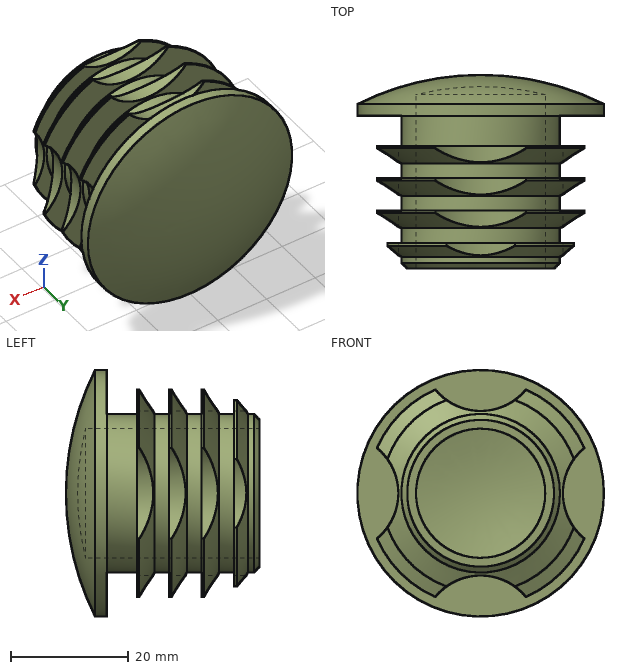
import cadquery as cq
import math


head_radius = 21.0
rim_thickness = 2.0
dome_height = 5.0

stem_radius = 13.5
stem_length = 26.0
tip_chamfer = 1.0
bore_radius = 11.0
dome_wall = 2.0

fin_count = 4
first_fin_offset = 5.1
fin_pitch = 5.5
fin_radius = 19.25
fin_land = 0.4
fin_height = 3.0
end_fin_radius = 16.9
end_fin_land = 0.5
end_fin_height = 2.4

notch_count = 4
notch_radius = 10.0
notch_floor_radius = 14.0

dome_radius = (head_radius**2 + dome_height**2) / (2 * dome_height)
dome_apex = rim_thickness + dome_height
dome_centre = dome_apex - dome_radius
bore_dome_radius = dome_radius - dome_wall
bore_apex = dome_apex - dome_wall


def height_on_dome(radius, distance_from_axis):
    """Y of a point on a sphere that shares the centre of the dome."""
    return dome_centre + math.sqrt(radius**2 - distance_from_axis**2)


def revolve_about_y(profile):
    return profile.close().revolve(360, (0, 0, 0), (0, 1, 0))


def make_head():
    mid_radius = head_radius / 2
    profile = (
        cq.Workplane("XY")
        .lineTo(head_radius, 0)
        .lineTo(head_radius, rim_thickness)
        .threePointArc((mid_radius, height_on_dome(dome_radius, mid_radius)), (0, dome_apex))
    )
    return revolve_about_y(profile)


def make_stem():
    profile = (
        cq.Workplane("XY")
        .lineTo(stem_radius, 0)
        .lineTo(stem_radius, tip_chamfer - stem_length)
        .lineTo(stem_radius - tip_chamfer, -stem_length)
        .lineTo(0, -stem_length)
    )
    return revolve_about_y(profile)


def make_fin(top, radius, land, height):
    """Barbed ring with its flat face at Y = top, tapering toward the open end."""
    profile = (
        cq.Workplane("XY", origin=(0, top, 0))
        .lineTo(radius, 0)
        .lineTo(radius, -land)
        .lineTo(stem_radius, -height)
        .lineTo(0, -height)
    )
    return revolve_about_y(profile)


def make_fins():
    end_index = fin_count - 1
    end_top = -first_fin_offset - end_index * fin_pitch
    fins = make_fin(end_top, end_fin_radius, end_fin_land, end_fin_height)
    for index in range(end_index):
        top = -first_fin_offset - index * fin_pitch
        fins = fins.union(make_fin(top, fin_radius, fin_land, fin_height))
    return fins


def make_notches():
    """Cylinders along the stem, clear of the stem wall and below the head."""
    return (
        cq.Workplane("XZ")
        .polarArray(notch_floor_radius + notch_radius, 0, 360, notch_count)
        .circle(notch_radius)
        .extrude(stem_length)
    )


def make_bore():
    """Blind bore whose end is a dome concentric with the outside of the head."""
    mid_radius = bore_radius / 2
    profile = (
        cq.Workplane("XY")
        .moveTo(0, -stem_length)
        .lineTo(bore_radius, -stem_length)
        .lineTo(bore_radius, height_on_dome(bore_dome_radius, bore_radius))
        .threePointArc((mid_radius, height_on_dome(bore_dome_radius, mid_radius)), (0, bore_apex))
    )
    return revolve_about_y(profile)


grip = make_fins().cut(make_notches())
result = make_head().union(make_stem()).union(grip).cut(make_bore())